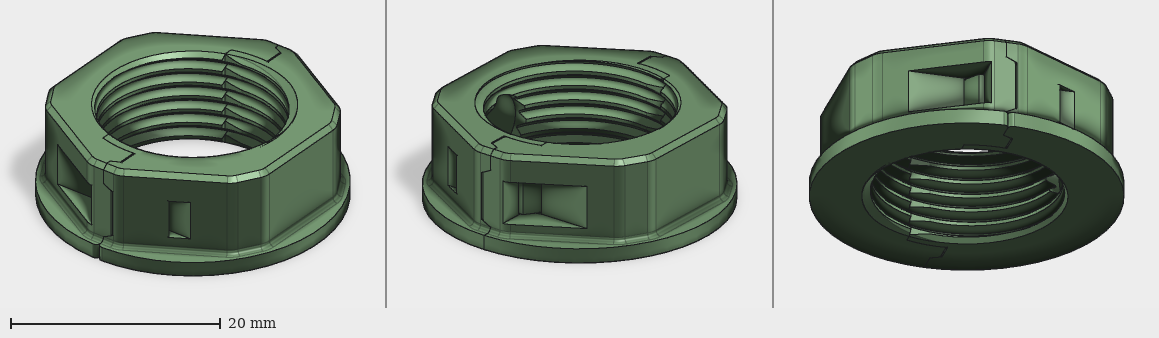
import cadquery as cq
import math

FLANGE_RADIUS = 15.0
FLANGE_HEIGHT = 1.5
TOTAL_HEIGHT = 10.0
LONG_FLAT_DISTANCE = 13.0
SHORT_FLAT_DISTANCE = 14.0
CORNER_RADIUS = 2.0
TOP_CHAMFER = 0.5
BASE_FILLET = 0.5
PARTING_RADIUS = 0.5

BORE_RADIUS = 9.18
PITCH = 1.5
THREAD_ROOT_RADIUS = 10.0
CREST_WIDTH = PITCH / 4
ROOT_WIDTH = PITCH / 8
LEAD_IN_CHAMFER = 0.48
THREAD_PHASE = 0.85
THREAD_OVERRUN = 0.15
LEFT_THREAD_ANGLES = (80, 280)
RIGHT_THREAD_ANGLES = (-120, 120)

ARM_OUTER_RADIUS = 10.53
ARM_REACH = 3.1
ARM_INNER_Y = 9.12
TONGUE_LENGTH = 0.9
SOCKET_DEPTH = 1.05
TONGUE_SLOPE = 0.5
TONGUE_OUTER_Y = 13.0
TONGUE_TOP = 7.95
TONGUE_BOTTOM = 2.0

HOOK_BOTTOM = 2.97
HOOK_TOP = 7.02
HOOK_TIP_Y = 11.55
HOOK_TIP_X = -2.0
HOOK_BACK_X = -1.47
WINDOW_GAP = 0.18
WINDOW_FLOOR_Y = 10.05

RECESS_RADIUS = 3.0
RECESS_HEIGHT = 5.0
RECESS_FLOOR_X = THREAD_ROOT_RADIUS

HEX_FACE_STEP = 60
REACH = 2 * FLANGE_RADIUS
PICK_MARGIN = 0.03


def flat_prism(flat_distance, corner_angle):
    """Hexagonal prism whose faces lie at flat_distance from the axis and a corner at corner_angle."""
    corner = flat_distance / math.cos(math.radians(HEX_FACE_STEP / 2))
    prism = cq.Workplane("XY").polygon(6, 2 * corner).extrude(TOTAL_HEIGHT)
    return prism.rotate((0, 0, 0), (0, 0, 1), corner_angle)


def nut_blank():
    """Solid nut body on its flange, before the bore and the joint are cut."""
    long_flats = flat_prism(LONG_FLAT_DISTANCE, HEX_FACE_STEP / 2)
    short_flats = flat_prism(SHORT_FLAT_DISTANCE, 0)
    body = long_flats.intersect(short_flats)
    body = body.edges("|Z").fillet(CORNER_RADIUS)
    body = body.faces(">Z").chamfer(TOP_CHAMFER)
    flange = cq.Workplane("XY").circle(FLANGE_RADIUS).extrude(FLANGE_HEIGHT)
    blank = flange.union(body)
    inside_rim = FLANGE_RADIUS - PICK_MARGIN
    base_band = cq.selectors.BoxSelector(
        (-inside_rim, -inside_rim, FLANGE_HEIGHT - PICK_MARGIN),
        (inside_rim, inside_rim, FLANGE_HEIGHT + PICK_MARGIN),
        boundingbox=True,
    )
    return blank.edges(base_band).fillet(BASE_FILLET)


def bore():
    """Bore with a countersink at both ends."""
    mouth_radius = BORE_RADIUS + LEAD_IN_CHAMFER
    return (
        cq.Workplane("XZ")
        .polyline([
            (0, 0),
            (mouth_radius, 0),
            (BORE_RADIUS, LEAD_IN_CHAMFER),
            (BORE_RADIUS, TOTAL_HEIGHT - LEAD_IN_CHAMFER),
            (mouth_radius, TOTAL_HEIGHT),
            (0, TOTAL_HEIGHT),
        ])
        .close()
        .revolve(360, (0, 0, 0), (0, 1, 0))
    )


def thread_turn(start_angle, end_angle):
    """One groove of the right-handed thread between two angles about Z, in degrees."""
    depth = THREAD_ROOT_RADIUS - BORE_RADIUS
    mouth_width = PITCH - CREST_WIDTH
    widening = (mouth_width - ROOT_WIDTH) / depth
    cutter_half = (mouth_width + widening * THREAD_OVERRUN) / 2
    cutter_radius = BORE_RADIUS - THREAD_OVERRUN
    rise = PITCH * (end_angle - start_angle) / 360
    path = cq.Wire.makeHelix(PITCH, rise, BORE_RADIUS)
    groove = (
        cq.Workplane("XZ")
        .moveTo(cutter_radius, -cutter_half)
        .lineTo(THREAD_ROOT_RADIUS, -ROOT_WIDTH / 2)
        .lineTo(THREAD_ROOT_RADIUS, ROOT_WIDTH / 2)
        .lineTo(cutter_radius, cutter_half)
        .close()
        .sweep(cq.Workplane(path), isFrenet=True)
    )
    start_height = THREAD_PHASE + PITCH * start_angle / 360
    return groove.rotate((0, 0, 0), (0, 0, 1), start_angle).translate((0, 0, start_height))


def cut_thread(half, start_angle, end_angle):
    """Cuts the part of every thread turn that lies on one half."""
    turn = thread_turn(start_angle, end_angle).val()
    turn_count = math.ceil(TOTAL_HEIGHT / PITCH) + 2
    turns = [turn.translate(cq.Vector(0, 0, PITCH * (i - 1))) for i in range(turn_count)]
    return cq.Workplane(half.val().cut(*turns))


def both_sides(shape):
    """The shape together with its mirror image across the XZ plane."""
    return shape.union(shape.mirror("XZ"))


def left_zone():
    """Space of the left half: all of -X except where the snap arms run."""
    half = cq.Workplane("XY").box(REACH, REACH, REACH)
    half = half.translate((-REACH / 2, 0, 0))
    arm_disc = cq.Workplane("XY").circle(ARM_OUTER_RADIUS).extrude(TOTAL_HEIGHT)
    arm_slab = cq.Workplane("XY").box(2 * ARM_REACH, REACH, REACH)
    return half.cut(arm_disc.intersect(arm_slab))


def tongue(length):
    """Tapered tongues at both joints, standing out from the joint plane by length."""
    narrowing = TONGUE_SLOPE * length
    upright = (
        cq.Workplane("XY")
        .polyline([
            (0, 0),
            (length, 0),
            (length, TONGUE_OUTER_Y - narrowing),
            (0, TONGUE_OUTER_Y),
        ])
        .close()
        .extrude(TOTAL_HEIGHT)
    )
    level = (
        cq.Workplane("XZ")
        .polyline([
            (0, TONGUE_BOTTOM),
            (length, TONGUE_BOTTOM + narrowing),
            (length, TONGUE_TOP - narrowing),
            (0, TONGUE_TOP),
        ])
        .close()
        .extrude(-FLANGE_RADIUS)
    )
    arm_core = cq.Workplane("XY").circle(ARM_OUTER_RADIUS).extrude(TOTAL_HEIGHT)
    return both_sides(upright.union(level)).cut(arm_core)


def hook_windows():
    """Wedge-shaped openings in the left half in which the hooks catch."""
    flat_angle = math.radians(HEX_FACE_STEP)
    start_x = -(LONG_FLAT_DISTANCE - WINDOW_FLOOR_Y * math.sin(flat_angle)) / math.cos(flat_angle)
    height = HOOK_TOP - HOOK_BOTTOM + 2 * WINDOW_GAP
    window = (
        cq.Workplane("XY", origin=(0, 0, HOOK_BOTTOM - WINDOW_GAP))
        .polyline([
            (start_x, WINDOW_FLOOR_Y),
            (HOOK_BACK_X, WINDOW_FLOOR_Y),
            (HOOK_BACK_X, FLANGE_RADIUS),
            (start_x, FLANGE_RADIUS),
        ])
        .close()
        .extrude(height)
    )
    return both_sides(window)


def hooks():
    """Wedges on the outside of the snap arms, sloping up from the arm ends."""
    arm_end_y = math.sqrt(ARM_OUTER_RADIUS**2 - ARM_REACH**2)
    hook = (
        cq.Workplane("XY", origin=(0, 0, HOOK_BOTTOM))
        .polyline([
            (-ARM_REACH, arm_end_y),
            (HOOK_TIP_X, HOOK_TIP_Y),
            (HOOK_BACK_X, HOOK_TIP_Y),
            (HOOK_BACK_X, arm_end_y),
        ])
        .close()
        .extrude(HOOK_TOP - HOOK_BOTTOM)
    )
    return both_sides(hook)


def hook_channels():
    """Straight channels behind the hooks, open to the outer flats of the right half."""
    channel = cq.Workplane("XY", origin=(0, ARM_OUTER_RADIUS, HOOK_BOTTOM)).box(
        FLANGE_RADIUS,
        HOOK_TIP_Y - ARM_OUTER_RADIUS,
        HOOK_TOP - HOOK_BOTTOM,
        centered=False,
    )
    return both_sides(channel)


def bore_recess():
    """Blind round recess that opens into the bore on the +X side."""
    disc = cq.Workplane("YZ", origin=(0, 0, RECESS_HEIGHT)).circle(RECESS_RADIUS)
    return disc.extrude(RECESS_FLOOR_X)


def arm_relief():
    """Flattens the inner faces of the snap arms."""
    return cq.Workplane("XY", origin=(-ARM_REACH, 0, 0)).box(
        ARM_REACH, 2 * ARM_INNER_Y, TOTAL_HEIGHT, centered=(False, True, False)
    )


def round_flange_edge(half):
    """Rounds the flange edge of a half where it meets the other half on the -Y side."""
    edge = cq.selectors.BoxSelector(
        (-PICK_MARGIN, -FLANGE_RADIUS - PICK_MARGIN, -PICK_MARGIN),
        (PICK_MARGIN, -FLANGE_RADIUS + PICK_MARGIN, FLANGE_HEIGHT + PICK_MARGIN),
        boundingbox=True,
    )
    return half.edges(edge).fillet(PARTING_RADIUS)


def left_half(blank, bore_cutter):
    half = blank.intersect(left_zone())
    half = half.union(blank.intersect(tongue(TONGUE_LENGTH)))
    half = round_flange_edge(half)
    half = half.cut(hook_windows())
    half = half.cut(bore_cutter)
    return cut_thread(half, *LEFT_THREAD_ANGLES)


def right_half(blank, bore_cutter):
    half = blank.cut(left_zone())
    half = half.cut(tongue(SOCKET_DEPTH))
    half = round_flange_edge(half)
    half = half.cut(hook_channels())
    half = half.union(hooks())
    half = half.cut(bore_cutter).cut(arm_relief()).cut(bore_recess())
    return cut_thread(half, *RIGHT_THREAD_ANGLES)


blank_body = nut_blank()
bore_cutter = bore()

left_nut_half = left_half(blank_body, bore_cutter)
right_nut_half = right_half(blank_body, bore_cutter)

result = cq.Compound.makeCompound([left_nut_half.solids().val(), right_nut_half.solids().val()])